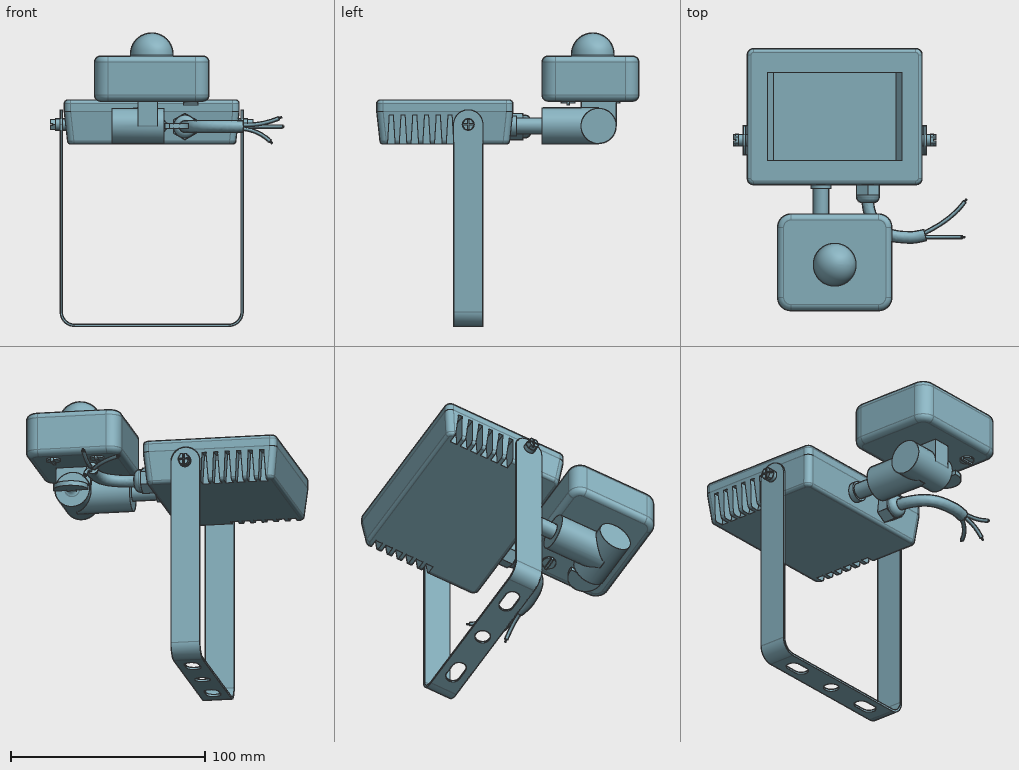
import cadquery as cq
import math


HOUSING_X = 90.0
HOUSING_Y = 70.1
HOUSING_TOP = 22.8
BEZEL_HEIGHT = 6.0
BEZEL_BOTTOM = HOUSING_TOP - BEZEL_HEIGHT
TAPER_ANGLE = 6.3
HOUSING_CORNER_R = 3.3
HOUSING_TOP_R = 2.0
HOUSING_BOTTOM_R = 1.8
FRONT_WALL_Y = -HOUSING_Y / 2
ROOT_DEPTH = 4.5
OVERLAP = 1.5

WINDOW_X = 69.4
WINDOW_Y = 45.3
WINDOW_DEPTH = 4.1
WINDOW_FLOOR_X = 63.0
WINDOW_LIP = 0.5

SLOT_COUNT = 6
SLOT_PITCH = 6.0
FIRST_SLOT_Y = 27.5
SLOT_TOP_WIDTH = 2.1
SLOT_BOTTOM_WIDTH = 4.0
SLOT_TOP_Z = 15.0
SLOT_FLOOR_X = 37.8

PIVOT_Y = -12.1
PIVOT_Z = 10.1
SCREW_D = 6.0
SCREW_TIP_X = 52.1
HEAD_LENGTH = 2.7
HEAD_CORNERS_D = 6.2
HEX_SIDES = 6
CROSS_WIDTH = 0.8
CROSS_DEPTH = 1.2

STRAP_WIDTH = 15.1
STRAP_THICKNESS = 1.2
BRACKET_X = 94.3
BRACKET_BOTTOM = -93.8
BEND_R = 7.5
BASE_HOLE_D = 8.0
BASE_SLOT_LENGTH = 13.6
BASE_SLOT_WIDTH = 7.5
BASE_SLOT_X = 27.0

SENSOR_X = 59.0
SENSOR_Y = 49.9
SENSOR_CENTRE_Y = -75.0
SENSOR_BOTTOM = 22.0
SENSOR_TOP = 45.3
SENSOR_CORNER_R = 7.0
SENSOR_EDGE_R = 3.2
DOME_Y = -76.2
DOME_R = 11.0
DOME_RIM_HEIGHT = 0.9

DIAL_X = 20.1
DIAL_D = 7.3
DIAL_THICKNESS = 0.9
DIAL_SPACING = 23.0
GRIP_WIDTH = 1.4
GRIP_HEIGHT = 1.0

ARM_X = -7.1
ARM_Z = 9.4
ROD_D = 8.3
FLANGE_D = 10.5
FLANGE_LENGTH = 2.0
BARREL_D = 18.7
BARREL_START_Y = -50.0
KNUCKLE_D = 18.1
KNUCKLE_Y = -79.2
KNUCKLE_LENGTH = 26.7
KNUCKLE_END_X = ARM_X + KNUCKLE_LENGTH / 2
TAB_WIDTH = 10.1

KNOB_THICKNESS = 2.4
KNOB_R = 8.9
KNOB_X = 10.1
KNOB_FLAT_X = 9.0
KNOB_NECK_WIDTH = 4.8
FLARE_LENGTH = 2.7
FLARE_R = 4.5
FLARE_TIP_R = 1.0

GLAND_X = 17.0
GLAND_Z = 9.0
GLAND_FLATS = 11.8
GLAND_HEX_LENGTH = 5.1
GLAND_CAP_LENGTH = 4.1
GLAND_CAP_R = 3.0
GLAND_END_Y = FRONT_WALL_Y - GLAND_HEX_LENGTH - GLAND_CAP_LENGTH

CABLE_D = 6.0
CABLE_END_DIRECTION = (1, 0.25)
CABLE_ROUTE = [(GLAND_X, GLAND_END_Y + OVERLAP), (18.3, -50.2), (23.0, -57.9), (29.8, -61.2),
               (37.6, -62.1), (46.5, -60.9)]
WIRE_D = 1.8
CORE_D = 0.8
CORE_LENGTH = 1.5
STRAIGHT_WIRE_Y = -62.0
WIRE_START_X = 45.3
SIDE_WIRE = [(WIRE_START_X, -60.3, GLAND_Z), (54.1, -55.5, GLAND_Z),
             (59.8, -51.2, GLAND_Z), (67.0, -43.7, GLAND_Z)]
RISING_WIRE = [(WIRE_START_X, STRAIGHT_WIRE_Y, 10.0), (56.2, STRAIGHT_WIRE_Y, 10.6),
               (65.5, STRAIGHT_WIRE_Y, 13.3)]
FALLING_WIRE = [(WIRE_START_X, STRAIGHT_WIRE_Y, 8.0), (52.3, STRAIGHT_WIRE_Y, 6.8),
                (56.8, STRAIGHT_WIRE_Y, 4.7), (60.9, STRAIGHT_WIRE_Y, 1.5)]


def box(x_range, y_range, z_range):
    """Box between two limits on each axis."""
    size = [high - low for low, high in (x_range, y_range, z_range)]
    return cq.Workplane("XY").box(*size, centered=False).translate((x_range[0], y_range[0], z_range[0]))


def x_cylinder(diameter, start_x, end_x, y, z):
    """Cylinder along X."""
    return cq.Workplane("YZ", origin=(start_x, y, z)).circle(diameter / 2).extrude(end_x - start_x)


def y_cylinder(diameter, start_y, end_y, x, z):
    """Cylinder along -Y, from start_y down to end_y."""
    return cq.Workplane("XZ", origin=(x, start_y, z)).circle(diameter / 2).extrude(start_y - end_y)


def make_housing():
    """Straight bezel over a tapered back, all edges rounded."""
    bezel = box(
        (-HOUSING_X / 2, HOUSING_X / 2), (-HOUSING_Y / 2, HOUSING_Y / 2), (BEZEL_BOTTOM, HOUSING_TOP)
    )
    bezel = bezel.edges("|Z").fillet(HOUSING_CORNER_R).faces(">Z").edges().fillet(HOUSING_TOP_R)
    back = (
        cq.Workplane("XY", origin=(0, 0, BEZEL_BOTTOM))
        .rect(HOUSING_X, HOUSING_Y)
        .extrude(-BEZEL_BOTTOM, taper=TAPER_ANGLE)
    )
    back = back.edges("not(#Z)").fillet(HOUSING_CORNER_R).faces("<Z").edges().fillet(HOUSING_BOTTOM_R)
    return bezel.union(back)


def make_window():
    """Recess with sloped ends above a small step, and straight long sides."""
    floor_z = HOUSING_TOP - WINDOW_DEPTH
    profile = [
        (-WINDOW_X / 2, HOUSING_TOP),
        (WINDOW_X / 2, HOUSING_TOP),
        (WINDOW_FLOOR_X / 2, floor_z + WINDOW_LIP),
        (WINDOW_FLOOR_X / 2, floor_z),
        (-WINDOW_FLOOR_X / 2, floor_z),
        (-WINDOW_FLOOR_X / 2, floor_z + WINDOW_LIP),
    ]
    return cq.Workplane("XZ").polyline(profile).close().extrude(WINDOW_Y / 2, both=True)


def make_cooling_slot(side, y):
    """Slot that widens downwards, cut into the end wall on the given side (-1 or 1)."""
    profile = [
        (y - SLOT_TOP_WIDTH / 2, SLOT_TOP_Z),
        (y + SLOT_TOP_WIDTH / 2, SLOT_TOP_Z),
        (y + SLOT_BOTTOM_WIDTH / 2, 0),
        (y - SLOT_BOTTOM_WIDTH / 2, 0),
    ]
    wall = HOUSING_X / 2 - SLOT_FLOOR_X
    floor_plane = cq.Workplane("YZ", origin=(side * SLOT_FLOOR_X, 0, 0))
    return floor_plane.polyline(profile).close().extrude(side * wall)


def make_screw(side):
    """Pivot screw with a hexagonal, cross-slotted head, on the given side (-1 or 1)."""
    head_x = SCREW_TIP_X - HEAD_LENGTH
    screw = x_cylinder(SCREW_D, HOUSING_X / 2 - ROOT_DEPTH, head_x, PIVOT_Y, PIVOT_Z)
    head = (
        cq.Workplane("YZ", origin=(head_x, PIVOT_Y, PIVOT_Z)).polygon(HEX_SIDES, HEAD_CORNERS_D)
        .extrude(HEAD_LENGTH)
    )
    cross = cq.Workplane("YZ", origin=(SCREW_TIP_X, PIVOT_Y, PIVOT_Z))
    for arm_size in ((SCREW_D * 2, CROSS_WIDTH), (CROSS_WIDTH, SCREW_D * 2)):
        head = head.cut(cross.rect(*arm_size).extrude(-CROSS_DEPTH))
    screw = screw.union(head)
    return screw if side > 0 else screw.mirror("YZ")


def make_arm():
    """Flanged rod, barrel, cross knuckle and the tab that carries the sensor."""
    root_y = FRONT_WALL_Y + ROOT_DEPTH
    arm = y_cylinder(ROD_D, root_y, BARREL_START_Y - OVERLAP, ARM_X, ARM_Z)
    arm = arm.union(y_cylinder(FLANGE_D, root_y, FRONT_WALL_Y - FLANGE_LENGTH, ARM_X, ARM_Z))
    arm = arm.union(y_cylinder(BARREL_D, BARREL_START_Y, KNUCKLE_Y, ARM_X, ARM_Z))
    arm = arm.union(x_cylinder(KNUCKLE_D, KNUCKLE_END_X - KNUCKLE_LENGTH, KNUCKLE_END_X, KNUCKLE_Y, ARM_Z))
    tab = box(
        (ARM_X, ARM_X + TAB_WIDTH),
        (KNUCKLE_Y - KNUCKLE_D / 2, KNUCKLE_Y + KNUCKLE_D / 2),
        (ARM_Z, SENSOR_BOTTOM + OVERLAP),
    )
    return arm.union(tab)


def make_knob():
    """D-shaped knob plate on a short neck, with a hollow-curved flare at its root."""
    bottom_z = ARM_Z - KNOB_THICKNESS / 2
    top_z = ARM_Z + KNOB_THICKNESS / 2
    disc = cq.Workplane("XY", origin=(KNOB_X, KNUCKLE_Y, bottom_z)).circle(KNOB_R).extrude(KNOB_THICKNESS)
    plate = disc.intersect(
        box((KNOB_FLAT_X, KNOB_X + KNOB_R), (KNUCKLE_Y - KNOB_R, KNUCKLE_Y + KNOB_R), (bottom_z, top_z))
    )
    neck = box(
        (KNUCKLE_END_X - OVERLAP / 2, KNOB_X),
        (KNUCKLE_Y - KNOB_NECK_WIDTH / 2, KNUCKLE_Y + KNOB_NECK_WIDTH / 2),
        (bottom_z, top_z),
    )
    sag = 1 - math.sqrt(0.5)
    flare_middle = (FLARE_LENGTH * sag, FLARE_TIP_R + (FLARE_R - FLARE_TIP_R) * sag)
    flare = (
        cq.Workplane("XY", origin=(KNUCKLE_END_X, KNUCKLE_Y, ARM_Z))
        .moveTo(-OVERLAP, 0)
        .lineTo(-OVERLAP, FLARE_R)
        .lineTo(0, FLARE_R)
        .threePointArc(flare_middle, (FLARE_LENGTH, FLARE_TIP_R))
        .lineTo(FLARE_LENGTH, 0)
        .close()
        .revolve(360, (0, 0, 0), (1, 0, 0))
    )
    return plate.union(neck).union(flare)


def make_sensor():
    """Rounded sensor box with its dome and two adjusting dials."""
    half_y = SENSOR_Y / 2
    sensor = box(
        (-SENSOR_X / 2, SENSOR_X / 2),
        (SENSOR_CENTRE_Y - half_y, SENSOR_CENTRE_Y + half_y),
        (SENSOR_BOTTOM, SENSOR_TOP),
    )
    sensor = sensor.edges("|Z").fillet(SENSOR_CORNER_R).faces("<Z or >Z").edges().fillet(SENSOR_EDGE_R)

    dome = (
        cq.Workplane("XZ", origin=(0, DOME_Y, SENSOR_TOP))
        .lineTo(DOME_R, 0)
        .lineTo(DOME_R, DOME_RIM_HEIGHT)
        .radiusArc((0, DOME_RIM_HEIGHT + DOME_R), -DOME_R)
        .close()
        .revolve(360, (0, 0, 0), (0, 1, 0))
    )
    sensor = sensor.union(dome)

    for side in (-1, 1):
        dial_y = SENSOR_CENTRE_Y + side * DIAL_SPACING / 2
        dial_plane = cq.Workplane("XY", origin=(DIAL_X, dial_y, SENSOR_BOTTOM))
        dial = dial_plane.circle(DIAL_D / 2).extrude(-DIAL_THICKNESS)
        grip = dial_plane.rect(DIAL_D, GRIP_WIDTH).extrude(-DIAL_THICKNESS - GRIP_HEIGHT)
        sensor = sensor.union(dial).union(grip)
    return sensor


def make_gland():
    """Hexagonal cable gland with a rounded cap."""
    hex_end_y = FRONT_WALL_Y - GLAND_HEX_LENGTH
    hexagon = (
        cq.Workplane("XZ", origin=(GLAND_X, FRONT_WALL_Y + ROOT_DEPTH, GLAND_Z))
        .polygon(HEX_SIDES, GLAND_FLATS, circumscribed=True)
        .extrude(ROOT_DEPTH + GLAND_HEX_LENGTH)
    )
    cap = y_cylinder(GLAND_FLATS, hex_end_y, GLAND_END_Y, GLAND_X, GLAND_Z)
    cap = cap.faces("<Y").edges().fillet(GLAND_CAP_R)
    return hexagon.union(cap)


def sweep_round(path, diameter):
    """Round bar along a path edge."""
    start_plane = cq.Plane(origin=path.startPoint(), normal=path.tangentAt(0))
    return cq.Workplane(start_plane).circle(diameter / 2).sweep(cq.Workplane(path))


def make_wire(points):
    """Insulated wire through the points, with a bare core at its free end."""
    path = cq.Edge.makeSpline([cq.Vector(*point) for point in points])
    tip_plane = cq.Plane(origin=path.endPoint(), normal=path.tangentAt(1))
    core = cq.Workplane(tip_plane).circle(CORE_D / 2).extrude(CORE_LENGTH)
    return sweep_round(path, WIRE_D).union(core)


def make_cable():
    """Cable that leaves the gland, turns towards +X and splits into three wires."""
    path = cq.Edge.makeSpline(
        [cq.Vector(x, y, GLAND_Z) for x, y in CABLE_ROUTE],
        tangents=[cq.Vector(0, -1, 0), cq.Vector(*CABLE_END_DIRECTION, 0)],
    )
    cable = sweep_round(path, CABLE_D)
    for points in (SIDE_WIRE, RISING_WIRE, FALLING_WIRE):
        cable = cable.union(make_wire(points))
    return cable


def make_floodlight():
    """Lamp, screws, arm, sensor and cable as one solid."""
    lamp = make_housing().cut(make_window())
    for side in (-1, 1):
        for index in range(SLOT_COUNT):
            lamp = lamp.cut(make_cooling_slot(side, FIRST_SLOT_Y - index * SLOT_PITCH))
        lamp = lamp.union(make_screw(side))
    for part in (make_arm(), make_knob(), make_sensor(), make_gland(), make_cable()):
        lamp = lamp.union(part)
    return lamp


def make_bracket():
    """U-shaped strap with rounded upper ends, pivot holes and fixing holes in its base."""
    half_x = BRACKET_X / 2
    top_z = PIVOT_Z + STRAP_WIDTH / 2
    y_range = (PIVOT_Y - STRAP_WIDTH / 2, PIVOT_Y + STRAP_WIDTH / 2)
    outside = box((-half_x, half_x), y_range, (BRACKET_BOTTOM, top_z))
    outside = outside.edges("|Y and <Z").fillet(BEND_R)
    inner_x = half_x - STRAP_THICKNESS
    inside = box((-inner_x, inner_x), y_range, (BRACKET_BOTTOM + STRAP_THICKNESS, top_z))
    inside = inside.edges("|Y and <Z").fillet(BEND_R - STRAP_THICKNESS)
    bracket = outside.cut(inside)
    rounded_ends = box((-half_x, half_x), y_range, (BRACKET_BOTTOM, PIVOT_Z))
    rounded_ends = rounded_ends.union(x_cylinder(STRAP_WIDTH, -half_x, half_x, PIVOT_Y, PIVOT_Z))
    bracket = bracket.intersect(rounded_ends)

    bracket = bracket.cut(x_cylinder(SCREW_D, -half_x, half_x, PIVOT_Y, PIVOT_Z))
    base = cq.Workplane("XY", origin=(0, PIVOT_Y, BRACKET_BOTTOM))
    bracket = bracket.cut(base.circle(BASE_HOLE_D / 2).extrude(STRAP_THICKNESS))
    slots = base.pushPoints([(-BASE_SLOT_X, 0), (BASE_SLOT_X, 0)]).slot2D(BASE_SLOT_LENGTH, BASE_SLOT_WIDTH)
    return bracket.cut(slots.extrude(STRAP_THICKNESS))


floodlight = make_floodlight()
bracket = make_bracket()

result = cq.Compound.makeCompound([*floodlight.solids().vals(), *bracket.solids().vals()])